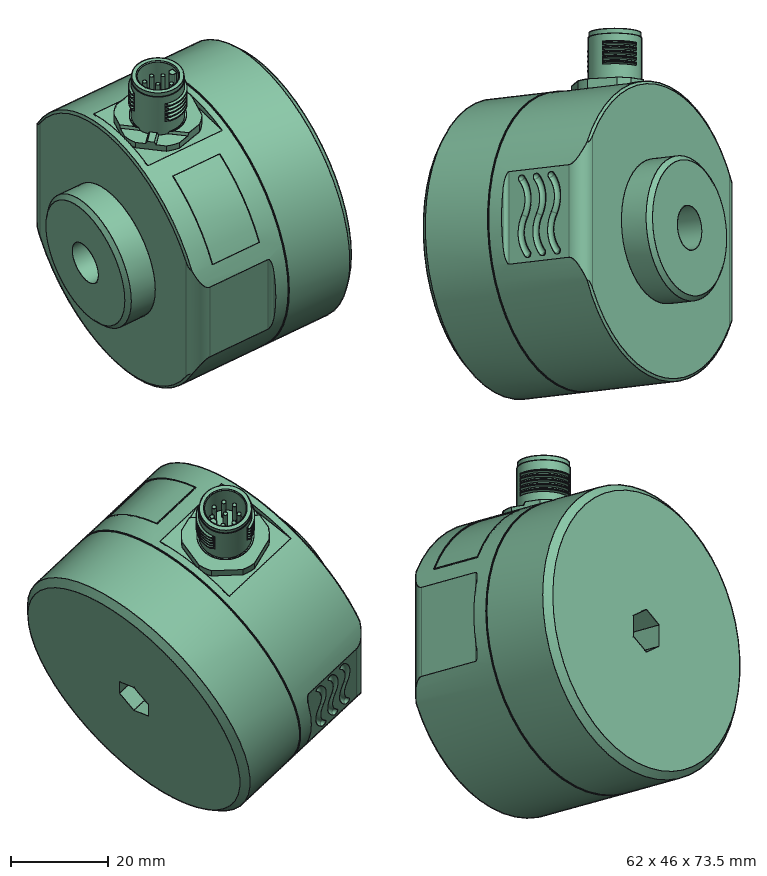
import cadquery as cq
import math


body_radius = 31.0
rear_length = 16.75
front_length = 22.25
rear_chamfer = 1.5
front_edge_depth = 0.4
front_edge_inset = 0.6
joint_groove_width = 0.2
joint_groove_depth = 0.15

hub_radius = 15.0
hub_length = 7.0
hub_chamfer = 0.95

hex_across_flats = 8.0
bore_radius = hex_across_flats / math.sqrt(3)

flat_offset = 29.45
flat_start = 3.3
flat_root_radius = 0.9
flat_nose_radius = 3.5

wave_center = 11.5
wave_count = 3
wave_pitch = 3.6
wave_half_height = 7.9
wave_lean = 0.7
wave_bulge = 1.2
wave_groove_radius = 0.7

connector_center = 11.0
connector_top = 42.45
pocket_length = 18.65

nut_across_flats = 16.9
nut_corner_radius = 9.0
nut_top = 31.6
nut_turn = 15
nut_hole_radius = 5.9
nut_hole_depth = 0.15
mark_angle = -45
mark_offset = 4.4
mark_step = 0.65
mark_wall_slope = 0.3
mark_rib_base = 2.2
mark_rib_top = 1.5

sleeve_radius = 5.5
rim_radius = 5.35
rim_height = 1.0
socket_radius = 4.25
socket_depth = 8.1
socket_chamfer = 0.2

thread_radius = 6.0
thread_pitch = 1.0
thread_root_width = 0.7
thread_tip_width = 0.2
thread_turns = 5
thread_first_drop = 2.95
narrow_thread_width = 7.0
narrow_thread_angle = 225
wide_thread_width = 10.0
wide_thread_angle = 45
overlap = 0.4

pin_radius = 0.45
pin_circle_radius = 2.8
pin_count = 7
pin_step_angle = 49
pin_drop = 2.35
key_radius = 0.7
key_center = 3.7
key_drop = 1.0

label_angle = 45
label_width = 19.9
label_start = 5.15
label_length = 11.75
label_depth = 0.2

front_face = -front_length
connector_floor = connector_top - socket_depth


def y_cylinder(radius, y_start, y_end):
    """Cylinder on the body axis between two Y positions."""
    plane = cq.Workplane("XZ", origin=(0, y_end, 0))
    return plane.circle(radius).extrude(y_end - y_start)


def z_cylinder(radius, z_bottom, z_top, x=0, y=0):
    """Upright cylinder; x and y are measured from the connector axis."""
    plane = cq.Workplane("XY", origin=(x, y - connector_center, z_bottom))
    return plane.circle(radius).extrude(z_top - z_bottom)


def turned_about_connector(solid, angle):
    """Turn a solid around the connector axis."""
    axis_start = (0, -connector_center, 0)
    axis_end = (0, -connector_center, 1)
    return solid.rotate(axis_start, axis_end, angle)


def round_body():
    """Turned outline of rear cap, joint groove, front housing and hub."""
    half_groove = joint_groove_width / 2
    groove_radius = body_radius - joint_groove_depth
    hub_face = front_face - hub_length
    outline = [
        (0, rear_length),
        (body_radius - rear_chamfer, rear_length),
        (body_radius, rear_length - rear_chamfer),
        (body_radius, half_groove),
        (groove_radius, half_groove),
        (groove_radius, -half_groove),
        (body_radius, -half_groove),
        (body_radius, front_face + front_edge_depth),
        (body_radius - front_edge_inset, front_face),
        (hub_radius, front_face),
        (hub_radius, hub_face + hub_chamfer),
        (hub_radius - hub_chamfer, hub_face),
        (0, hub_face),
    ]
    return cq.Workplane("XY").polyline(outline).close().revolve(360, (0, 0), (0, 1))


def side_flat_cutter():
    """Material outside the +X flat, with a hollow root and a rounded front nose."""
    outside = body_radius + 0.7
    nose_shift = flat_nose_radius * (1 - math.sqrt(0.5))
    root_shift = flat_root_radius * (1 - math.sqrt(0.5))
    return (
        cq.Workplane("XY", origin=(0, 0, -body_radius))
        .moveTo(outside, -flat_start)
        .lineTo(flat_offset + flat_root_radius, -flat_start)
        .threePointArc(
            (flat_offset + root_shift, -flat_start - root_shift),
            (flat_offset, -flat_start - flat_root_radius),
        )
        .lineTo(flat_offset, front_face + flat_nose_radius)
        .threePointArc(
            (flat_offset - nose_shift, front_face + nose_shift),
            (flat_offset - flat_nose_radius, front_face),
        )
        .lineTo(outside, front_face)
        .close()
        .extrude(2 * body_radius)
    )


def shaft_opening():
    """Round bore from the hub up to the joint, hexagon from there to the rear."""
    bore = y_cylinder(bore_radius, front_face - hub_length, 0)
    hexagon = (
        cq.Workplane("XZ", origin=(0, rear_length, 0))
        .transformed(rotate=(0, 0, 90))
        .polygon(6, 2 * bore_radius)
        .extrude(rear_length)
    )
    return bore.union(hexagon)


def wave_groove(y_center):
    """S-shaped round-bottomed groove in the -X flat."""
    end_y = wave_lean
    end_z = wave_half_height
    chord = math.hypot(end_y, end_z)
    mid_y = end_y / 2 - wave_bulge * end_z / chord
    mid_z = end_z / 2 + wave_bulge * end_y / chord
    plane = cq.Plane(origin=(-flat_offset, y_center, 0), xDir=(0, 1, 0), normal=(1, 0, 0))
    upper_arc = cq.Workplane(plane).moveTo(0, 0).threePointArc((mid_y, mid_z), (end_y, end_z))
    tangent = upper_arc.val().tangentAt(0)
    section_plane = cq.Plane(origin=plane.origin, xDir=(1, 0, 0), normal=tangent)
    upper = cq.Workplane(section_plane).circle(wave_groove_radius).sweep(upper_arc)
    end_point = (-flat_offset, y_center + end_y, end_z)
    end_ball = cq.Workplane("XY", origin=end_point).sphere(wave_groove_radius)
    upper = upper.union(end_ball)
    lower = upper.rotate((0, y_center, 0), (1, y_center, 0), 180)
    return upper.union(lower)


def connector_pocket():
    """Flat-bottomed seat for the connector nut."""
    plane = cq.Workplane("XY", origin=(0, -connector_center, flat_offset))
    return plane.rect(2 * body_radius, pocket_length).extrude(body_radius)


def label_recess():
    """Shallow curved recess on the upper +X shoulder."""
    block = (
        cq.Workplane("XY", origin=(0, -label_start - label_length / 2, 0))
        .rect(label_width, label_length)
        .extrude(body_radius + 0.7)
        .rotate((0, 0, 0), (0, 1, 0), label_angle)
    )
    core = y_cylinder(body_radius - label_depth, front_face, 0)
    return block.cut(core)


def nut():
    """Hexagon nut with rounded corners and one lowered segment carrying a rib."""
    height = nut_top - flat_offset
    hexagon = (
        cq.Workplane("XY", origin=(0, -connector_center, flat_offset))
        .polygon(6, nut_across_flats / math.cos(math.pi / 6))
        .extrude(height)
    )
    blank = turned_about_connector(hexagon, nut_turn - 30)
    blank = blank.intersect(z_cylinder(nut_corner_radius, flat_offset, nut_top))
    blank = blank.cut(z_cylinder(nut_hole_radius, nut_top - nut_hole_depth, nut_top))

    step_floor = nut_top - mark_step
    step = (
        cq.Workplane("XZ", origin=(0, nut_corner_radius - connector_center, 0))
        .moveTo(mark_offset, nut_top)
        .lineTo(mark_offset + mark_wall_slope, step_floor)
        .lineTo(nut_corner_radius, step_floor)
        .lineTo(nut_corner_radius, nut_top)
        .close()
        .extrude(2 * nut_corner_radius)
    )
    rib = (
        cq.Workplane("YZ", origin=(mark_offset, -connector_center, step_floor))
        .moveTo(-mark_rib_base / 2, 0)
        .lineTo(mark_rib_base / 2, 0)
        .lineTo(mark_rib_top / 2, mark_step)
        .lineTo(-mark_rib_top / 2, mark_step)
        .close()
        .extrude(nut_across_flats / 2 - mark_offset)
    )
    blank = blank.cut(turned_about_connector(step, mark_angle))
    return blank.union(turned_about_connector(rib, mark_angle))


def thread_patch(width, angle, first_crest):
    """Stack of thread ridges kept only within a strip on one side of the sleeve."""
    core_radius = sleeve_radius - overlap
    ridges = cq.Workplane("XY")
    for turn in range(thread_turns):
        crest = first_crest - turn * thread_pitch
        ridge = (
            cq.Workplane("XZ", origin=(0, -connector_center, crest))
            .moveTo(core_radius, -thread_root_width / 2)
            .lineTo(sleeve_radius, -thread_root_width / 2)
            .lineTo(thread_radius, -thread_tip_width / 2)
            .lineTo(thread_radius, thread_tip_width / 2)
            .lineTo(sleeve_radius, thread_root_width / 2)
            .lineTo(core_radius, thread_root_width / 2)
            .close()
            .revolve(360, (0, 0), (0, 1))
        )
        ridges = ridges.add(ridge)
    strip = (
        cq.Workplane("XY", origin=(thread_radius / 2, -connector_center, nut_top))
        .rect(thread_radius, width)
        .extrude(connector_top - nut_top)
    )
    return ridges.combine().intersect(turned_about_connector(strip, angle))


def sleeve():
    """Connector tube with its narrower rim and the two threaded sides."""
    rim_base = connector_top - rim_height
    tube = z_cylinder(sleeve_radius, flat_offset, rim_base)
    tube = tube.union(z_cylinder(rim_radius, rim_base, connector_top))
    first_crest = connector_top - thread_first_drop
    tube = tube.union(thread_patch(narrow_thread_width, narrow_thread_angle, first_crest))
    tube = tube.union(thread_patch(wide_thread_width, wide_thread_angle, first_crest - thread_pitch / 2))
    socket = z_cylinder(socket_radius, connector_floor, connector_top)
    tube = tube.cut(socket)
    mouth = tube.faces(">Z").edges(cq.selectors.RadiusNthSelector(0))
    return mouth.chamfer(socket_chamfer)


def pins():
    """Centre pin and a ring of pins standing on the socket floor."""
    tip = connector_top - pin_drop
    group = z_cylinder(pin_radius, connector_floor, tip)
    for index in range(pin_count):
        angle = math.radians(-90 + (index - (pin_count - 1) / 2) * pin_step_angle)
        x = pin_circle_radius * math.cos(angle)
        y = pin_circle_radius * math.sin(angle)
        group = group.union(z_cylinder(pin_radius, connector_floor, tip, x, y))
    return group


def coding_key():
    """Round-nosed key on the +Y wall of the socket."""
    key_top = connector_top - key_drop
    nose = z_cylinder(key_radius, connector_floor, key_top, 0, key_center)
    wall_reach = sleeve_radius - overlap - key_center
    web = (
        cq.Workplane("XY", origin=(0, key_center + wall_reach / 2 - connector_center, connector_floor))
        .rect(2 * key_radius, wall_reach)
        .extrude(key_top - connector_floor)
    )
    return nose.union(web)


flat_cutter = side_flat_cutter()
result = round_body().cut(flat_cutter).cut(flat_cutter.mirror("YZ"))
result = result.cut(shaft_opening()).cut(connector_pocket()).cut(label_recess())
for wave in range(wave_count):
    offset = (wave - (wave_count - 1) / 2) * wave_pitch
    result = result.cut(wave_groove(-wave_center + offset))
result = result.union(nut()).union(sleeve()).union(pins()).union(coding_key())